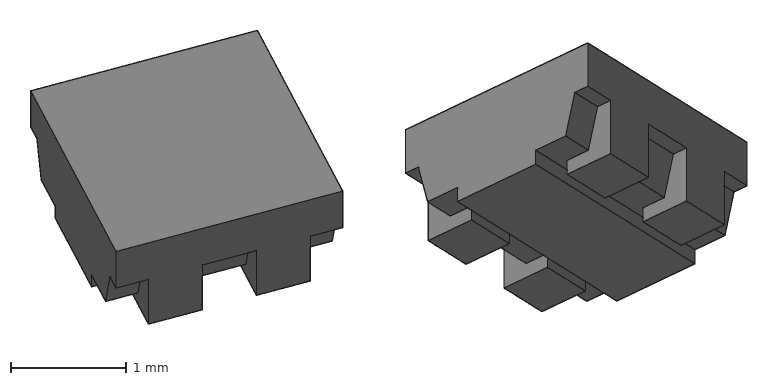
import cadquery as cq

side = 2.1
height = 1.0

slab_height = 0.45
slab_bottom = height - slab_height

body_top_width = 1.8
body_bottom_width = 1.59
body_bottom = 0.145

pad_width = 0.9

leg_side = 0.5
leg_pitch = 1.0
leg_x = (side - leg_side) / 2
leg_y = leg_pitch / 2


def make_slab():
    return (
        cq.Workplane("XY")
        .workplane(offset=slab_bottom)
        .rect(side, side)
        .extrude(slab_height)
    )


def make_body_and_pad():
    """Trapezoid with the pad below it, as one profile extruded along Y."""
    right_half = [
        (pad_width / 2, 0),
        (pad_width / 2, body_bottom),
        (body_bottom_width / 2, body_bottom),
        (body_top_width / 2, slab_bottom),
    ]
    left_half = [(-x, z) for x, z in reversed(right_half)]
    return (
        cq.Workplane("XZ")
        .polyline(right_half + left_half)
        .close()
        .extrude(side / 2, both=True)
    )


def make_legs():
    centres = [(x, y) for x in (-leg_x, leg_x) for y in (-leg_y, leg_y)]
    return (
        cq.Workplane("XY")
        .pushPoints(centres)
        .rect(leg_side, leg_side)
        .extrude(slab_bottom)
    )


result = make_slab().union(make_body_and_pad()).union(make_legs())